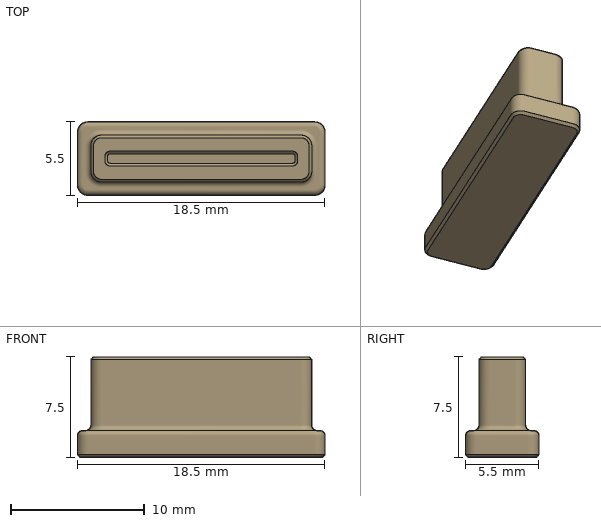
import cadquery as cq

BASE_LENGTH = 18.5
BASE_WIDTH = 5.5
BASE_HEIGHT = 2.0
BASE_TOP_FILLET = 0.4

TOTAL_HEIGHT = 7.5
LEDGE = 1.0
NECK_LENGTH = BASE_LENGTH - 2 * LEDGE
NECK_WIDTH = BASE_WIDTH - 2 * LEDGE
NECK_HEIGHT = TOTAL_HEIGHT - BASE_HEIGHT
NECK_ROOT_FILLET = 0.4

CORNER_RADIUS = 0.8
EDGE_CHAMFER = 0.2

SLOT_LENGTH = 14.0
SLOT_WIDTH = 0.7
SLOT_CORNER_RADIUS = 0.2
SLOT_DEPTH = NECK_HEIGHT


def rounded_block(length, width, height, corner_radius, bottom):
    """Upright block centred on the Z axis with rounded vertical edges."""
    block = cq.Workplane("XY").workplane(offset=bottom).rect(length, width).extrude(height)
    return block.edges("|Z").fillet(corner_radius)


def make_base():
    base = rounded_block(BASE_LENGTH, BASE_WIDTH, BASE_HEIGHT, CORNER_RADIUS, 0)
    base = base.faces(">Z").edges().fillet(BASE_TOP_FILLET)
    return base.faces("<Z").edges().chamfer(EDGE_CHAMFER)


def make_neck():
    neck = rounded_block(NECK_LENGTH, NECK_WIDTH, NECK_HEIGHT, CORNER_RADIUS, BASE_HEIGHT)
    return neck.faces(">Z").edges().chamfer(EDGE_CHAMFER)


def fillet_neck_root(body):
    """Blend the neck into the top face of the base."""
    margin = LEDGE / 2
    root_zone = cq.selectors.BoxSelector(
        (-NECK_LENGTH / 2 - margin, -NECK_WIDTH / 2 - margin, BASE_HEIGHT - EDGE_CHAMFER),
        (NECK_LENGTH / 2 + margin, NECK_WIDTH / 2 + margin, BASE_HEIGHT + EDGE_CHAMFER),
        boundingbox=True,
    )
    return body.edges(root_zone).fillet(NECK_ROOT_FILLET)


def cut_slot(body):
    """Cut the blind slot and chamfer its mouth."""
    floor = TOTAL_HEIGHT - SLOT_DEPTH
    slot = rounded_block(SLOT_LENGTH, SLOT_WIDTH, SLOT_DEPTH, SLOT_CORNER_RADIUS, floor)
    body = body.cut(slot)
    mouth_zone = cq.selectors.BoxSelector(
        (-SLOT_LENGTH / 2 - EDGE_CHAMFER, -SLOT_WIDTH / 2 - EDGE_CHAMFER, TOTAL_HEIGHT - EDGE_CHAMFER),
        (SLOT_LENGTH / 2 + EDGE_CHAMFER, SLOT_WIDTH / 2 + EDGE_CHAMFER, TOTAL_HEIGHT + EDGE_CHAMFER),
        boundingbox=True,
    )
    return body.edges(mouth_zone).chamfer(EDGE_CHAMFER)


body = make_base().union(make_neck())
body = fillet_neck_root(body)
result = cut_slot(body)